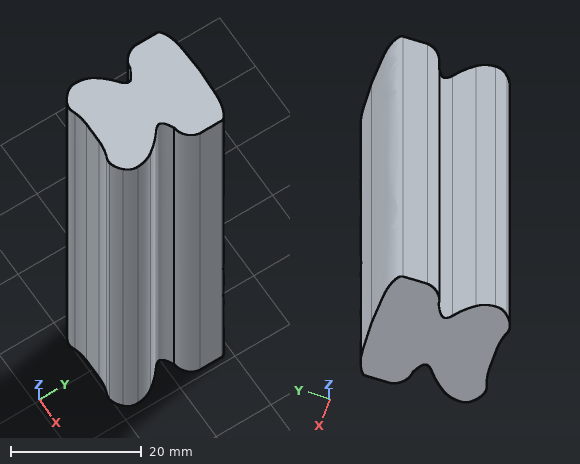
import cadquery as cq

width = 18.11
depth = 20.34
length = 78.74

half_width = width / 2
half_depth = depth / 2

crown_middle = (0, half_depth)
crown_bulge = (3.6, half_depth - 0.15)
shoulder_start = (6.3, half_depth - 0.4)
shoulder_middle = (8.0, half_depth - 0.95)
shoulder_end = (8.82, half_depth - 1.5)
head_side_top = (half_width, 8.2)
head_side_bottom = (half_width, 4.2)
head_underside_bulge = (8.3, 2.52)
head_underside_end = (6.12, 1.42)
neck_upper = (4.92, 0.75)
neck_waist = (4.3, -0.08)
neck_lower = (4.55, -0.7)
flank_start = (5.05, -1.19)
flank_bulge = (6.62, -2.61)
flank_end = (7.8, -4.06)
hip_bulge = (8.43, -5.4)
lobe_widest = (8.66, -6.88)
lobe_side_bulge = (8.45, -8.06)
lobe_side_end = (7.75, -9.02)
lobe_base_bulge = (6.84, -9.75)
lobe_lowest = (5.75, -half_depth)
lobe_inner_bulge = (5.1, -10.12)
lobe_inner_end = (4.39, -9.87)
hollow_bulge = (3.1, -9.57)
hollow_floor_end = (1.78, -9.45)


def mirrored(point):
    """Reflect a section point across the centre plane X = 0."""
    x, y = point
    return (-x, y)


def line(start, end):
    """Straight edge between two section points."""
    return cq.Edge.makeLine(cq.Vector(*start), cq.Vector(*end))


def arc(start, middle, end):
    """Circular edge through three section points."""
    return cq.Edge.makeThreePointArc(cq.Vector(*start), cq.Vector(*middle), cq.Vector(*end))


def curve(points, tangents=None):
    """Smooth edge through section points, with optional directions at its two ends."""
    return cq.Edge.makeSpline([cq.Vector(*point) for point in points], tangents)


def half_outline():
    """Edges of the +X half of the section, from the crown down to the hollow floor."""
    crown_points = [
        crown_middle, crown_bulge, shoulder_start, shoulder_middle, shoulder_end, head_side_top,
    ]
    crown_tangents = [cq.Vector(1, 0), cq.Vector(0, -1)]
    neck_points = [head_underside_end, neck_upper, neck_waist, neck_lower, flank_start]
    return [
        curve(crown_points, crown_tangents),
        line(head_side_top, head_side_bottom),
        arc(head_side_bottom, head_underside_bulge, head_underside_end),
        curve(neck_points),
        arc(flank_start, flank_bulge, flank_end),
        arc(flank_end, hip_bulge, lobe_widest),
        arc(lobe_widest, lobe_side_bulge, lobe_side_end),
        arc(lobe_side_end, lobe_base_bulge, lobe_lowest),
        arc(lobe_lowest, lobe_inner_bulge, lobe_inner_end),
        arc(lobe_inner_end, hollow_bulge, hollow_floor_end),
    ]


def section():
    """Closed section outline, symmetric about X = 0."""
    right_side = half_outline()
    left_side = [edge.mirror("YZ") for edge in right_side]
    hollow_floor = line(hollow_floor_end, mirrored(hollow_floor_end))
    return cq.Wire.assembleEdges(right_side + [hollow_floor] + left_side[::-1])


bar = cq.Solid.extrudeLinear(section(), [], cq.Vector(0, 0, length))
result = cq.Workplane("XY").add(bar.translate(cq.Vector(0, 0, -length / 2)))